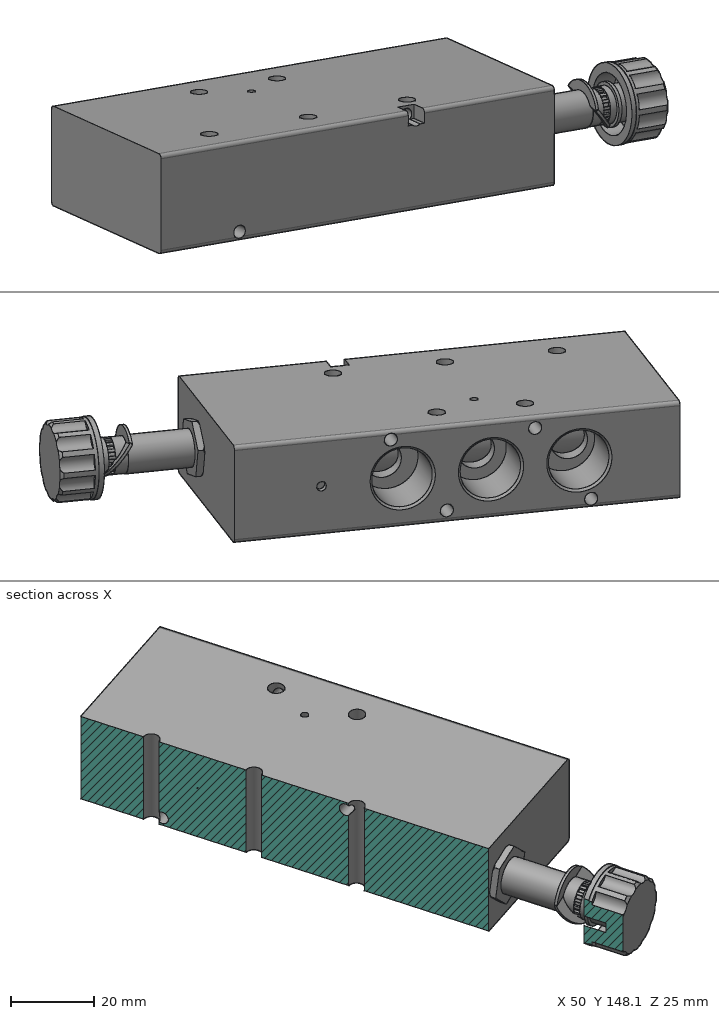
import cadquery as cq

block_width = 50.0
block_height = 25.0
block_end = 111.4
edge_round = 1.0
half_width = block_width / 2
half_height = block_height / 2

valve_center_y = 47.2
port_pitch = 22.0
port_radius = 7.5
port_depth = 13.3
port_chamfer = 0.6
passage_radius = 4.6
passage_shift = 1.2
spool_radius = 8.9

mount_diameter = 4.1
mount_x = 16.0
mount_pitch = 28.0
mark_diameter = 1.9
mark_depth = 2.2
mark_x = -9.9

cross_diameter = 3.3
through_hole_offset = 25.0
through_hole_z = 10.2
pilot_hole_z = 9.5
head_hole_diameter = 2.4
head_hole_depth = 1.5
head_hole_y = 89.6

notch_length = 4.7
notch_width = 4.6
notch_depth = 3.5

stem_x = 8.5
stem_turn = 15
total_length = 148.1
rod_radius = 4.7
neck_radius = 4.6
collar_radius = 5.6
groove_radius = 4.0
rod_end = 129.7
groove_start = 132.8
groove_end = 134.6
collar_start = 136.4
knob_start = 137.3
rim_radius = 10.15
rim_end = 138.6
grip_radius = 10.0
grip_chamfer = 0.7
knob_bore_radius = 7.7
knob_bore_depth = 5.9
groove_teeth = 16
tooth_width = 0.7
flute_count = 12
flute_depth = 1.0
flute_chord = 4.1
flute_start = 139.5
hex_corner_radius = 7.7
hex_thickness = 1.8
hex_chamfer = 0.5

plate_radius = 7.3
plate_thickness = 0.7
plate_front = 129.0
plate_fold = 3.0
plate_bend = 40


def disc(radius, y_start, y_end):
    """Cylinder around the Y axis."""
    return cq.Workplane("XZ", origin=(0, y_start, 0)).circle(radius).extrude(y_start - y_end)


def side_hole(diameter, y, z, depth):
    """Round hole running +X from the -X side."""
    return cq.Workplane("YZ", origin=(-half_width, y, z)).circle(diameter / 2).extrude(depth)


def vertical_hole(diameter, x, y, depth):
    """Round hole running down from the top face."""
    return cq.Workplane("XY", origin=(x, y, half_height)).circle(diameter / 2).extrude(-depth)


def make_block():
    return (
        cq.Workplane("XZ")
        .rect(block_width, block_height)
        .extrude(-block_end)
        .edges("|Y")
        .fillet(edge_round)
    )


def cut_ports(block):
    spool = disc(spool_radius, 0, block_end)
    for step in (-1, 0, 1):
        port_y = valve_center_y + step * port_pitch
        passage_y = port_y + step * passage_shift
        passage = side_hole(2 * passage_radius, passage_y, 0, half_width).cut(spool)
        mouth = (
            cq.Workplane("YZ", origin=(-half_width, port_y, 0))
            .circle(port_radius + port_chamfer)
            .workplane(offset=port_chamfer)
            .circle(port_radius)
            .loft()
        )
        block = block.cut(side_hole(2 * port_radius, port_y, 0, port_depth)).cut(passage).cut(mouth)
    return block


def cut_small_holes(block):
    for step in (-1, 0, 1):
        y = valve_center_y + step * mount_pitch
        block = block.cut(vertical_hole(mount_diameter, mount_x, y, block_height))
    for side in (-1, 1):
        y = valve_center_y + side * port_pitch / 2
        block = block.cut(vertical_hole(mount_diameter, -mount_x, y, block_height))
        block = block.cut(side_hole(cross_diameter, y, -side * pilot_hole_z, half_width - mount_x))
        through_y = valve_center_y + side * through_hole_offset
        block = block.cut(side_hole(cross_diameter, through_y, side * through_hole_z, block_width))
    block = block.cut(vertical_hole(mark_diameter, mark_x, valve_center_y, mark_depth))
    return block.cut(side_hole(head_hole_diameter, head_hole_y, 0, head_hole_depth))


def cut_notch(block):
    notch = cq.Workplane("XY").box(2 * notch_length, notch_width, 2 * notch_depth)
    return block.cut(notch.translate((half_width, valve_center_y + through_hole_offset, half_height)))


def make_knob():
    knob = disc(grip_radius, knob_start, total_length).faces(">Y").chamfer(grip_chamfer)
    knob = knob.union(disc(rim_radius, knob_start, rim_end))
    knob = knob.cut(disc(knob_bore_radius, knob_start, knob_start + knob_bore_depth))
    floor_radius = grip_radius - flute_depth
    scallop_radius = (flute_chord**2 / 4 + flute_depth**2) / (2 * flute_depth)
    scallop = disc(scallop_radius, flute_start, total_length).translate(
        (floor_radius + scallop_radius, 0, 0)
    )
    for index in range(flute_count):
        knob = knob.cut(scallop.rotate((0, 0, 0), (0, 1, 0), index * 360 / flute_count))
    return knob


def make_stem():
    stem = disc(rod_radius, block_end, rod_end)
    stem = stem.union(disc(neck_radius, rod_end, groove_start))
    stem = stem.union(disc(groove_radius, groove_start, groove_end))
    stem = stem.union(disc(rod_radius, groove_end, knob_start + knob_bore_depth))
    stem = stem.union(disc(collar_radius, collar_start, knob_start))
    tooth = (
        cq.Workplane("XY")
        .box(neck_radius, groove_end - groove_start, tooth_width, centered=(False, False, True))
        .translate((0, groove_start, 0))
    )
    for index in range(groove_teeth):
        stem = stem.union(tooth.rotate((0, 0, 0), (0, 1, 0), index * 360 / groove_teeth))
    return stem


def make_hex():
    hexagon = (
        cq.Workplane("XZ", origin=(0, block_end, 0))
        .polygon(6, 2 * hex_corner_radius)
        .extrude(-hex_thickness)
    )
    envelope = disc(hex_corner_radius, block_end, block_end + hex_thickness)
    envelope = envelope.faces("<Y").chamfer(hex_chamfer)
    return hexagon.intersect(envelope)


def make_plate():
    """Flat disc whose lower part is bent toward the knob along a line parallel to X."""
    flat = disc(plate_radius, plate_front, plate_front + plate_thickness)
    box_size = 4 * plate_radius
    below_fold = (
        cq.Workplane("XY")
        .box(box_size, box_size, box_size)
        .translate((0, plate_front, plate_fold - box_size / 2))
    )
    fold_start = (-plate_radius, plate_front, plate_fold)
    fold_end = (plate_radius, plate_front, plate_fold)
    tail = flat.intersect(below_fold).rotate(fold_start, fold_end, plate_bend)
    return flat.cut(below_fold).union(tail)


def make_handle():
    handle = make_stem().union(make_knob()).union(make_hex()).union(make_plate())
    return handle.rotate((0, 0, 0), (0, 1, 0), stem_turn).translate((stem_x, 0, 0))


block = make_block()
block = cut_ports(block)
block = cut_small_holes(block)
block = cut_notch(block)
result = block.union(make_handle())